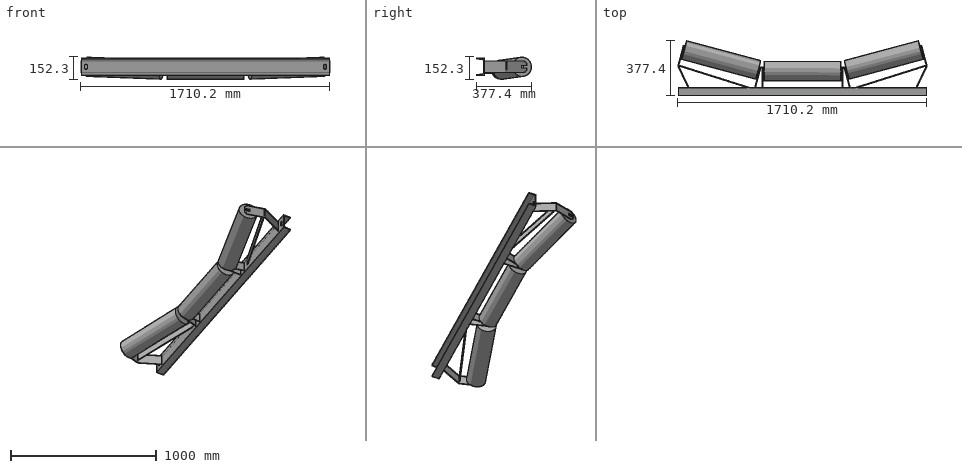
import cadquery as cq
import math


OVERALL_WIDTH = 1710.15
OVERALL_DEPTH = 377.4
OVERALL_HEIGHT = 152.29

CHANNEL_LENGTH = 1702.0
CHANNEL_HEIGHT = 120.0
FLANGE_WIDTH = 55.0
WEB_THICKNESS = 7.0
FLANGE_TIP_THICKNESS = 6.8
FLANGE_TAPER = 0.08
ROOT_RADIUS = 10.0
TIP_RADIUS = 4.5
BOLT_SLOT_SPACING = 1640.0
BOLT_SLOT_WIDTH = 18.0
BOLT_SLOT_HEIGHT = 35.0

ROLLER_DIAMETER = 133.0
ROLLER_LENGTH = 526.0
ROLLER_RADIUS = ROLLER_DIAMETER / 2
TROUGH_ANGLE = 15.0
MIDDLE_ROLLER_Y = 113.5
WING_INNER_X = 304.0
SHAFT_SQUARE = 15.0

PLATE_THICKNESS = 6.0
PLATE_GAP = 8.0
PLATE_WIDTH = 80.0
TIP_ABOVE_SHAFT = 30.0
TIP_CHAMFER = 17.0
BRIDGE_TOP_Y = 142.0
INNER_BRACKET_WIDTH = 70.0
INNER_BRACKET_Z = -10.0
SHAFT_SLOT_OVERCUT = 1.0
BEND_INNER_RADIUS = 4.0
BEND_OUTER_RADIUS = BEND_INNER_RADIUS + PLATE_THICKNESS
OUTER_FOOT_LEAN = 25.5

BRACE_WIDTH = 60.0
BRACE_Z = (PLATE_WIDTH - BRACE_WIDTH) / 2
BRACE_TOP_Y = 156.0
BRACE_FOOT_X = 358.0

SHAFT_LENGTH = ROLLER_LENGTH + 2 * (PLATE_GAP + PLATE_THICKNESS)

trough = math.radians(TROUGH_ANGLE)

roller_diagonal = math.hypot(ROLLER_LENGTH, ROLLER_DIAMETER)
tilt = math.asin(OVERALL_HEIGHT / roller_diagonal) - math.atan2(ROLLER_DIAMETER, ROLLER_LENGTH)

WING_AXIS = cq.Vector(
    math.cos(trough) * math.cos(tilt),
    math.sin(trough) * math.cos(tilt),
    math.sin(tilt),
)

outer_rim_reach = ROLLER_RADIUS * math.sqrt(1 - WING_AXIS.y ** 2)
WING_OUTER_Y = OVERALL_DEPTH - FLANGE_WIDTH - outer_rim_reach
WING_INNER_Y = WING_OUTER_Y - ROLLER_LENGTH * WING_AXIS.y

WING_OUTER_Z = 0.0
WING_INNER_Z = WING_OUTER_Z - ROLLER_LENGTH * WING_AXIS.z
PART_BOTTOM_Z = WING_INNER_Z - ROLLER_RADIUS * math.cos(tilt)
MIDDLE_ROLLER_Z = PART_BOTTOM_Z + ROLLER_RADIUS

WING_INNER_END = cq.Vector(WING_INNER_X, WING_INNER_Y, WING_INNER_Z)
WING_CENTRE = WING_INNER_END + WING_AXIS * (ROLLER_LENGTH / 2)
WING_OUTER_END = WING_INNER_END + WING_AXIS * ROLLER_LENGTH


AXIS_XY = (math.cos(trough), math.sin(trough))
PLATE_UP = (-math.sin(trough), math.cos(trough))


def point_at_y(point, direction, y):
    """Point where the line through point along direction reaches height y (in X, Y)."""
    return (point[0] + direction[0] * (y - point[1]) / direction[1], y)


def plate_point(end, along_axis, up):
    """X-Y point offset from a wing end along the wing axis and up the plate."""
    return (
        end.x + AXIS_XY[0] * along_axis + PLATE_UP[0] * up,
        end.y + AXIS_XY[1] * along_axis + PLATE_UP[1] * up,
    )


def place_on_wing(shape):
    """Move a shape built along X at the origin onto the right wing roller axis."""
    return (
        shape.rotate((0, 0, 0), (0, 1, 0), -math.degrees(tilt))
        .rotate((0, 0, 0), (0, 0, 1), TROUGH_ANGLE)
        .translate(WING_CENTRE)
    )


def place_in_middle(shape):
    """Move a shape built along X at the origin onto the middle roller axis."""
    return shape.translate((0, MIDDLE_ROLLER_Y, MIDDLE_ROLLER_Z))


def mirrored(shape):
    """Left-hand copy of a right-hand body."""
    return shape.mirror("YZ")


def build_roller():
    """Roller along X about the origin, with a square shaft end on each side."""
    start_x = -ROLLER_LENGTH / 2
    drum = cq.Workplane("YZ", (start_x, 0, 0)).circle(ROLLER_RADIUS).extrude(ROLLER_LENGTH)
    shaft = cq.Workplane("XY").box(SHAFT_LENGTH, SHAFT_SQUARE, SHAFT_SQUARE)
    return drum.union(shaft)


def build_shaft_slots():
    """Slot cutter for both ends of a roller: seats the shaft and opens upward in Y."""
    slot_height = SHAFT_SQUARE / 2 + 2 * TIP_ABOVE_SHAFT
    return cq.Workplane("XY").box(
        SHAFT_LENGTH + 2 * SHAFT_SLOT_OVERCUT, slot_height, SHAFT_SQUARE
    ).translate((0, (slot_height - SHAFT_SQUARE) / 2, 0))


def build_channel():
    """Cross channel with tapered flanges facing -Y and a bolt slot near each end."""
    half_height = CHANNEL_HEIGHT / 2
    tip_z = half_height - FLANGE_TIP_THICKNESS
    root_z = tip_z - (FLANGE_WIDTH - WEB_THICKNESS) * FLANGE_TAPER
    profile = [
        (0, -half_height),
        (-FLANGE_WIDTH, -half_height),
        (-FLANGE_WIDTH, -tip_z),
        (-WEB_THICKNESS, -root_z),
        (-WEB_THICKNESS, root_z),
        (-FLANGE_WIDTH, tip_z),
        (-FLANGE_WIDTH, half_height),
        (0, half_height),
    ]
    start_x = -CHANNEL_LENGTH / 2
    channel = cq.Workplane("YZ", (start_x, 0, 0)).polyline(profile).close().extrude(CHANNEL_LENGTH)
    for y, z, radius in ((-WEB_THICKNESS, root_z, ROOT_RADIUS), (-FLANGE_WIDTH, tip_z, TIP_RADIUS)):
        for side in (-1, 1):
            long_edge = cq.selectors.NearestToPointSelector((0, y, side * z))
            channel = channel.edges(long_edge).fillet(radius)

    bolt_slots = (
        cq.Workplane("XZ")
        .pushPoints([(-BOLT_SLOT_SPACING / 2, 0), (BOLT_SLOT_SPACING / 2, 0)])
        .slot2D(BOLT_SLOT_HEIGHT, BOLT_SLOT_WIDTH, 90)
        .extrude(WEB_THICKNESS)
    )
    return channel.cut(bolt_slots)


def plate_from_outline(points, width, middle_z):
    """Plate with an X-Y outline, its width centred on middle_z."""
    return (
        cq.Workplane("XY", (0, 0, middle_z - width / 2)).polyline(points).close().extrude(width)
    )


def build_outer_bracket():
    """Right outer bracket: a leaning foot bent into a plate square to the wing roller."""
    tip_inner = plate_point(WING_OUTER_END, PLATE_GAP, TIP_ABOVE_SHAFT)
    tip_outer = plate_point(WING_OUTER_END, PLATE_GAP + PLATE_THICKNESS, TIP_ABOVE_SHAFT)

    bend_x = OVERALL_WIDTH / 2 - BEND_OUTER_RADIUS
    face_to_bend = (tip_outer[0] - BEND_OUTER_RADIUS * AXIS_XY[0] - bend_x) / PLATE_UP[0]
    bend_y = tip_outer[1] - BEND_OUTER_RADIUS * AXIS_XY[1] - face_to_bend * PLATE_UP[1]

    def bend_point(radius, angle):
        return (bend_x + radius * math.cos(angle), bend_y + radius * math.sin(angle))

    lean = math.radians(OUTER_FOOT_LEAN)
    middle = (trough - lean) / 2
    foot_run = (math.sin(lean), math.cos(lean))
    foot_outer = point_at_y(bend_point(BEND_OUTER_RADIUS, -lean), foot_run, 0)
    foot_inner = point_at_y(bend_point(BEND_INNER_RADIUS, -lean), foot_run, 0)
    plate = (
        cq.Workplane("XY", (0, 0, -PLATE_WIDTH / 2))
        .moveTo(*tip_inner)
        .lineTo(*tip_outer)
        .lineTo(*bend_point(BEND_OUTER_RADIUS, trough))
        .threePointArc(
            bend_point(BEND_OUTER_RADIUS, middle), bend_point(BEND_OUTER_RADIUS, -lean)
        )
        .lineTo(*foot_outer)
        .lineTo(*foot_inner)
        .lineTo(*bend_point(BEND_INNER_RADIUS, -lean))
        .threePointArc(
            bend_point(BEND_INNER_RADIUS, middle), bend_point(BEND_INNER_RADIUS, trough)
        )
        .close()
        .extrude(PLATE_WIDTH)
    )
    for z_side in (-1, 1):
        tip_corner = (
            (tip_inner[0] + tip_outer[0]) / 2,
            (tip_inner[1] + tip_outer[1]) / 2,
            z_side * PLATE_WIDTH / 2,
        )
        plate = plate.edges(cq.selectors.NearestToPointSelector(tip_corner)).chamfer(TIP_CHAMFER)
    return plate


def build_inner_bracket():
    """Right inner bracket: upright leg, bridge and leaning leg between two rollers."""
    upright_inner = ROLLER_LENGTH / 2 + PLATE_GAP
    upright_outer = upright_inner + PLATE_THICKNESS
    bridge_low_y = BRIDGE_TOP_Y - PLATE_THICKNESS
    near_wing = plate_point(WING_INNER_END, -PLATE_GAP, 0)
    far_side = plate_point(WING_INNER_END, -PLATE_GAP - PLATE_THICKNESS, 0)
    return plate_from_outline([
        (upright_inner, 0),
        (upright_inner, BRIDGE_TOP_Y),
        point_at_y(near_wing, PLATE_UP, BRIDGE_TOP_Y),
        point_at_y(near_wing, PLATE_UP, 0),
        point_at_y(far_side, PLATE_UP, 0),
        point_at_y(far_side, PLATE_UP, bridge_low_y),
        (upright_outer, bridge_low_y),
        (upright_outer, 0),
    ], INNER_BRACKET_WIDTH, INNER_BRACKET_Z)


def build_brace():
    """Right brace: a sloping flat plate from the channel into the outer bracket's bend."""
    top = (OVERALL_WIDTH / 2 - PLATE_THICKNESS / 2, BRACE_TOP_Y)
    foot = (BRACE_FOOT_X, 0)
    slope = math.atan2(top[1], top[0] - foot[0])
    drop = PLATE_THICKNESS / math.cos(slope)
    return plate_from_outline([
        foot, top, (top[0], top[1] - drop), (foot[0] + PLATE_THICKNESS / math.sin(slope), 0),
    ], BRACE_WIDTH, BRACE_Z)


channel = build_channel()
roller = build_roller()
shaft_slots = build_shaft_slots()
middle_roller = place_in_middle(roller)
wing_roller = place_on_wing(roller)
outer_bracket = build_outer_bracket().cut(place_on_wing(shaft_slots))
inner_bracket = build_inner_bracket().cut(place_on_wing(shaft_slots)).cut(place_in_middle(shaft_slots))
brace = build_brace().cut(outer_bracket)

bodies = [channel.val(), middle_roller.val()]
for body in (wing_roller, outer_bracket, inner_bracket, brace):
    bodies += [body.val(), mirrored(body).val()]

result = cq.Compound.makeCompound(bodies)